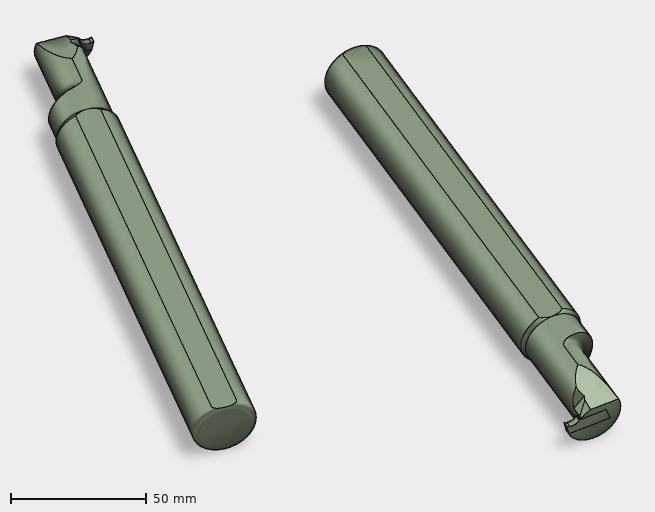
import cadquery as cq
import math


total_length = 199.92
shank_radius = 12.5
neck_diameter = 23.0
across_flats = neck_diameter
end_round = 2.5
neck_radius = neck_diameter / 2
neck_end_x = 43.0
shank_cone_angle = 30.0

tip_y = 17.0
head_bottom_y = -5.5
head_face_x = 0.08
head_radius = (tip_y - head_bottom_y) / 2
head_center_y = (tip_y + head_bottom_y) / 2
head_round_start_x = 27.8
shoulder_angle = 60.0
shoulder_round = 3.5

slope_front_z = 4.4
slope_length = 17.0
slope_rise = 6.6

pocket_floor_offset = 9.5
pocket_floor_angle = 45.0
pocket_floor_end_x = 5.5
pocket_wall_angle = 29.0
lip_inner_y = 7.1
lip_outer_y = 10.9
lip_outer_z = 2.0
lip_end = (4.5, 7.6, 6.1)

insert_width = 2.5
insert_bottom_z = -4.0
insert_top_z = 1.3
tail_top_y = 0.7
tail_bottom_y = -1.1
tip_land_start_y = 15.8
rake_start_y = 14.6
rake_end_y = 11.9
chip_floor_z = -0.4
side_facets = [(tip_y, 0.08), (11.0, 0.03), (9.2, 0.0), (7.4, 0.0), (5.0, 0.04), (tail_bottom_y, 0.08)]

big = 60.0
front_clearance = 1.0


def make_bar():
    """Neck and shank turned about the X axis, with flats on the top and bottom of the shank."""
    cone_length = (shank_radius - neck_radius) / math.tan(math.radians(shank_cone_angle))
    profile = (
        cq.Workplane("XY")
        .moveTo(head_face_x, 0)
        .lineTo(head_face_x, neck_radius)
        .lineTo(neck_end_x, neck_radius)
        .lineTo(neck_end_x + cone_length, shank_radius)
        .lineTo(total_length - end_round, shank_radius)
        .radiusArc((total_length, shank_radius - end_round), end_round)
        .lineTo(total_length, 0)
        .close()
    )
    bar = profile.revolve(360, (0, 0, 0), (1, 0, 0))
    flats = cq.Workplane("XY").box(2 * total_length, big, across_flats)
    return bar.intersect(flats)


def make_head_relief():
    """Ring outside the eccentric head, ending in a rounded corner and a conical shoulder."""
    slope = math.radians(shoulder_angle)
    tangent_length = shoulder_round * math.tan(slope / 2)
    corner_x = head_round_start_x + tangent_length
    round_end_x = corner_x + tangent_length * math.cos(slope)
    round_end_y = head_radius + tangent_length * math.sin(slope)
    outer_radius = 2 * shank_radius
    outer_x = corner_x + (outer_radius - head_radius) / math.tan(slope)
    profile = (
        cq.Workplane("XY", origin=(0, head_center_y, 0))
        .moveTo(-front_clearance, head_radius)
        .lineTo(head_round_start_x, head_radius)
        .radiusArc((round_end_x, round_end_y), -shoulder_round)
        .lineTo(outer_x, outer_radius)
        .lineTo(-front_clearance, outer_radius)
        .close()
    )
    return profile.revolve(360, (0, 0, 0), (1, 0, 0))


def make_slope_cut():
    """Wedge that leaves the sloped face on top of the head."""
    slope = slope_rise / slope_length
    profile = (
        cq.Workplane("XZ")
        .moveTo(-front_clearance, slope_front_z - slope * front_clearance)
        .lineTo(big / 2, slope_front_z + slope * big / 2)
        .lineTo(-front_clearance, slope_front_z + slope * big / 2)
        .close()
    )
    return profile.extrude(big / 2, both=True)


def make_pocket_cut():
    """Chip pocket: a floor tilted towards +Y and a sloping end wall."""
    depth = neck_radius
    wall_run = depth / math.tan(math.radians(pocket_wall_angle))
    profile = (
        cq.Workplane("XZ")
        .moveTo(-front_clearance, 0)
        .lineTo(pocket_floor_end_x, 0)
        .lineTo(pocket_floor_end_x + wall_run, depth)
        .lineTo(-front_clearance, depth)
        .close()
    )
    pocket = profile.extrude(big / 2, both=True).translate((0, 0, pocket_floor_offset))
    return pocket.rotate((0, 0, 0), (1, 0, 0), -pocket_floor_angle)


def make_lip_cut():
    """Skew flat that lowers the front of the pocket towards the insert."""
    inner = cq.Vector(0, lip_inner_y, slope_front_z)
    outer = cq.Vector(0, lip_outer_y, lip_outer_z)
    along = outer - inner
    upward = (cq.Vector(*lip_end) - inner).cross(along)
    return cq.Workplane(cq.Plane(inner, along, upward)).rect(big, big).extrude(big / 2)


def insert_outline(workplane):
    """Side outline of the insert, with the tip on the head's round and a chip former behind it."""
    bottom_y = head_center_y + math.sqrt(head_radius**2 - insert_bottom_z**2)
    return (
        workplane.moveTo(tip_y, 0)
        .lineTo(tip_land_start_y, chip_floor_z)
        .lineTo(rake_start_y, chip_floor_z)
        .tangentArcPoint((rake_end_y, insert_top_z), relative=False)
        .lineTo(tail_top_y, insert_top_z)
        .lineTo(tail_bottom_y, insert_bottom_z)
        .lineTo(bottom_y, insert_bottom_z)
        .close()
    )


def make_blade():
    """Thin crescent below the insert that carries it out to the tip."""
    disc = cq.Workplane("YZ", origin=(head_face_x, head_center_y, 0)).circle(head_radius)
    disc = disc.extrude(insert_width - head_face_x)
    below_insert = cq.Workplane("XY", origin=(0, 0, insert_bottom_z)).rect(big, big).extrude(-big)
    return disc.intersect(below_insert)


def make_insert():
    blank = insert_outline(cq.Workplane("YZ")).extrude(insert_width)
    facets = [(setback, y) for y, setback in side_facets]
    envelope = (
        cq.Workplane("XY")
        .polyline(facets + [(insert_width, tail_bottom_y), (insert_width, tip_y)])
        .close()
        .extrude(big / 2, both=True)
    )
    return blank.intersect(envelope).solids()


def make_holder():
    holder = make_bar()
    for cutter in (make_head_relief(), make_slope_cut(), make_pocket_cut(), make_lip_cut()):
        holder = holder.cut(cutter)
    seat = insert_outline(cq.Workplane("YZ")).extrude(insert_width)
    return holder.union(make_blade()).cut(seat).solids()


holder = make_holder()
insert = make_insert()

result = cq.Compound.makeCompound([holder.val(), insert.val()])